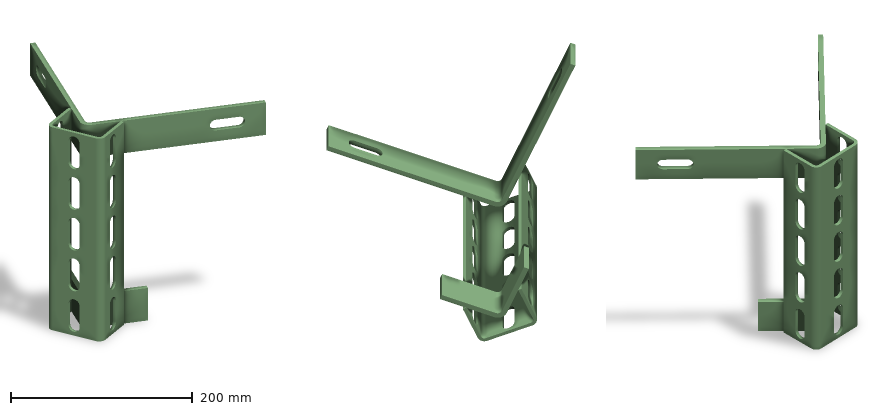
import cadquery as cq
import math

channel_width = 70.0
channel_depth = 50.0
channel_height = 250.0
channel_thickness = 4.0
channel_bend_radius = 8.0

channel_slot_count = 5
channel_slot_pitch = 50.0
channel_slot_length = 40.0
channel_slot_width = 14.0
flange_slot_y = 25.0

strip_height = 40.0
strip_thickness = 6.0
strip_inner_bend_radius = 5.0
upper_span = 296.5
lower_span = 106.0

arm_slot_length = 40.0
arm_slot_width = 13.0
arm_slot_from_end = 44.0

channel_inner_half_width = channel_width / 2 - channel_thickness
apex_y = channel_depth - channel_inner_half_width
upper_arm_length = upper_span / 2 * math.sqrt(2)
lower_arm_length = lower_span / 2 * math.sqrt(2)
arm_angle = 45


def channel_blank():
    """U-shaped channel with rounded bends and its web on Y = 0."""
    outside = (
        cq.Workplane("XY")
        .rect(channel_width, 2 * channel_depth)
        .extrude(channel_height)
        .edges("|Z")
        .fillet(channel_bend_radius)
    )
    inside = (
        cq.Workplane("XY")
        .rect(2 * channel_inner_half_width, 2 * (channel_depth - channel_thickness))
        .extrude(channel_height)
        .edges("|Z")
        .fillet(channel_bend_radius - channel_thickness)
    )
    tube_half = (
        cq.Workplane("XY")
        .rect(channel_width, channel_depth)
        .extrude(channel_height)
        .translate((0, -channel_depth / 2, 0))
    )
    return outside.cut(inside).intersect(tube_half).translate((0, channel_depth, 0))


def channel_slots():
    """Cutters for one column of slots through the web and one through both flanges."""
    slot_heights = [
        channel_height / 2 + (i - (channel_slot_count - 1) / 2) * channel_slot_pitch
        for i in range(channel_slot_count)
    ]
    web_slots = (
        cq.Workplane("XZ")
        .pushPoints([(0, z) for z in slot_heights])
        .slot2D(channel_slot_length, channel_slot_width, 90)
        .extrude(channel_thickness, both=True)
    )
    flange_slots = (
        cq.Workplane("YZ")
        .pushPoints([(flange_slot_y, z) for z in slot_heights])
        .slot2D(channel_slot_length, channel_slot_width, 90)
        .extrude(channel_width, both=True)
    )
    return web_slots, flange_slots


def slotted_channel():
    web_slots, flange_slots = channel_slots()
    return channel_blank().cut(web_slots).cut(flange_slots)


def v_bracket(arm_length, base_z):
    """Right-angle bracket with equal arms, its bend pointing towards -Y."""
    bracket = (
        cq.Workplane("XY")
        .moveTo(0, 0)
        .lineTo(arm_length, 0)
        .lineTo(arm_length, strip_thickness)
        .lineTo(strip_thickness, strip_thickness)
        .lineTo(strip_thickness, arm_length)
        .lineTo(0, arm_length)
        .close()
        .extrude(strip_height)
    )
    inner_corner = cq.selectors.NearestToPointSelector(
        (strip_thickness, strip_thickness, strip_height / 2)
    )
    outer_corner = cq.selectors.NearestToPointSelector((0, 0, strip_height / 2))
    bracket = bracket.edges(inner_corner).fillet(strip_inner_bend_radius)
    bracket = bracket.edges(outer_corner).fillet(strip_inner_bend_radius + strip_thickness)
    return place_at_channel(bracket, base_z)


def place_at_channel(shape, base_z):
    """Turn the arms from the X and Y axes to their diagonals and move them to the channel."""
    return shape.rotate((0, 0, 0), (0, 0, 1), arm_angle).translate((0, apex_y, base_z))


def arm_slots(arm_length, base_z):
    """Cutters for the slot in each arm of a bracket, square to the arm."""
    slot_place = (arm_length - arm_slot_from_end, strip_height / 2)
    along_x, along_y = [
        cq.Workplane(plane)
        .pushPoints([slot_place])
        .slot2D(arm_slot_length, arm_slot_width)
        .extrude(2 * strip_thickness, both=True)
        for plane in ("XZ", "YZ")
    ]
    return place_at_channel(along_x.union(along_y), base_z)


upper_base_z = channel_height - strip_height

channel = slotted_channel()
upper_bracket = v_bracket(upper_arm_length, upper_base_z)
upper_bracket = upper_bracket.cut(arm_slots(upper_arm_length, upper_base_z))
lower_bracket = v_bracket(lower_arm_length, 0)

bodies = [channel, upper_bracket, lower_bracket]
result = cq.Compound.makeCompound([body.solids().val() for body in bodies])